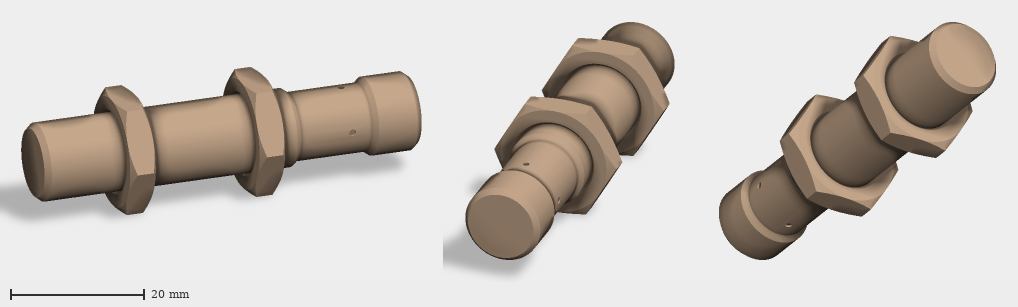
import cadquery as cq
import math

length = 60.0
barrel_diameter = 12.0
neck_diameter = 10.5
end_chamfer = 0.9
neck_taper = 0.95
neck_front = 41.0
neck_back = 52.0

window_count = 4
window_diameter = 1.0
window_depth = 0.35
window_y = 49.0

across_flats = 16.9
nut_thickness = 4.1
nut_front_faces = [12.5, 33.05]
nut_corner_angle = 30.0
bore_chamfer = 0.5

barrel_radius = barrel_diameter / 2
neck_radius = neck_diameter / 2
across_corners = across_flats / math.cos(math.radians(30))


def revolve_about_y(profile):
    """Turn a closed (radius, Y) outline about the Y axis."""
    return cq.Workplane("XY").polyline(profile).close().revolve(360, (0, 0, 0), (0, 1, 0))


def make_sensor():
    """Turned barrel with a reduced neck, coned ends and windows in the neck."""
    sensor = revolve_about_y([
        (0, 0),
        (neck_radius, 0),
        (barrel_radius, end_chamfer),
        (barrel_radius, neck_front - neck_taper),
        (neck_radius, neck_front),
        (neck_radius, neck_back),
        (barrel_radius, neck_back + neck_taper),
        (barrel_radius, length - end_chamfer),
        (neck_radius, length),
        (0, length),
    ])
    cutter = (
        cq.Workplane("XY", origin=(0, window_y, neck_radius - window_depth))
        .circle(window_diameter / 2)
        .extrude(2 * window_depth)
    )
    for index in range(window_count):
        angle = index * 360 / window_count
        sensor = sensor.cut(cutter.rotate((0, 0, 0), (0, 1, 0), angle))
    return sensor.solids()


def make_nut(front_y):
    """Hexagonal nut with chamfered corners and a bore chamfered at both ends."""
    back_y = front_y + nut_thickness
    hexagon = (
        cq.Workplane("XZ", origin=(0, back_y, 0))
        .polygon(6, across_corners)
        .extrude(nut_thickness)
    )
    flat_radius = across_flats / 2
    corner_radius = across_corners / 2
    corner_drop = (corner_radius - flat_radius) * math.tan(math.radians(nut_corner_angle))
    mouth_radius = barrel_radius + bore_chamfer
    envelope = revolve_about_y([
        (barrel_radius, front_y + bore_chamfer),
        (mouth_radius, front_y),
        (flat_radius, front_y),
        (corner_radius, front_y + corner_drop),
        (corner_radius, back_y - corner_drop),
        (flat_radius, back_y),
        (mouth_radius, back_y),
        (barrel_radius, back_y - bore_chamfer),
    ])
    return hexagon.intersect(envelope).solids()


sensor = make_sensor()
nuts = [make_nut(front_y) for front_y in nut_front_faces]

result = cq.Compound.makeCompound([sensor.val(), *[nut.val() for nut in nuts]])